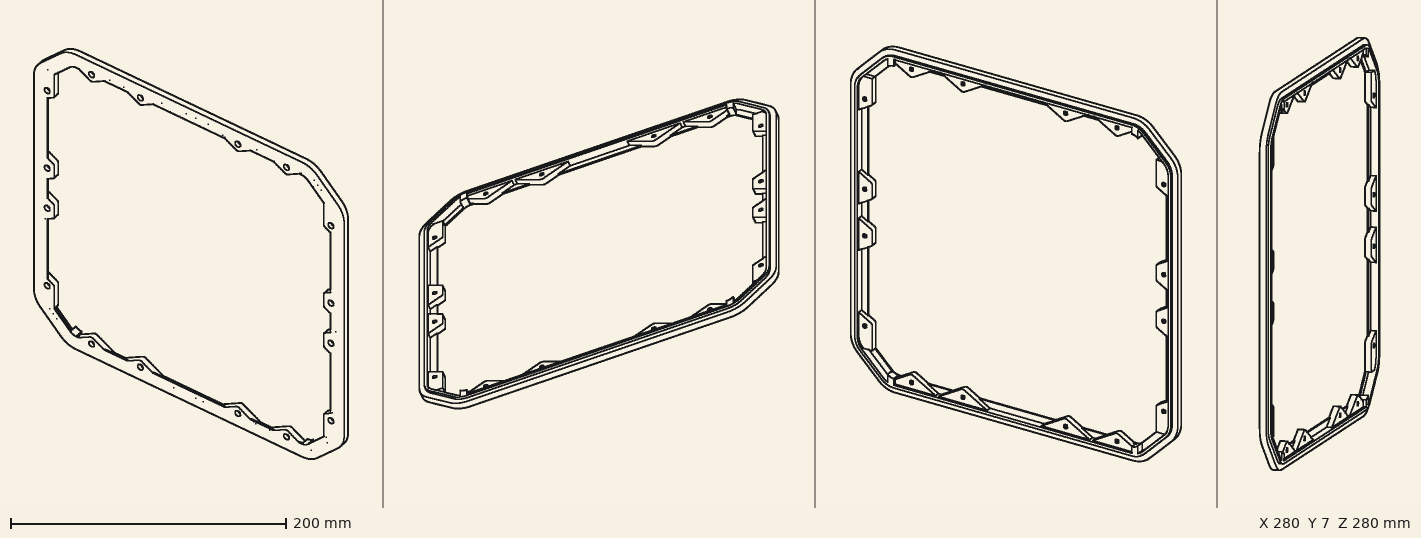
import cadquery as cq
import math

side = 280.0
half = side / 2
plate_depth = 5.0
total_depth = 7.0
flange_depth = 1.0

corner_leg = 30.0
corner_turn = math.radians(45)
corner_radius = 20.0

lip_inset = 4.8
wall_width = 7.0
flange_width = 12.3
boss_inset = 18.5
hole_inset = 12.0

hole_dia = 3.0
recess_dia = 4.8
recess_depth = 3.5
rail_holes = (44.0, 88.0)
mid_post_hole = 19.0
end_post_hole = 92.7

flank_angle = math.radians(30)
rail_tip_half = 0.8
mid_post_half = 6.5
end_post_reach = 3.5
boss_round = 2.0

leg_loss = 2 - math.sqrt(2)
rail_run = (boss_inset - wall_width) / math.tan(flank_angle)
post_run = (boss_inset - wall_width) * math.tan(flank_angle)


def plane_at(depth):
    """XZ workplane at Y = depth; extruding by depth runs back to the front face."""
    return cq.Workplane("XZ", origin=(0, depth, 0))


def octagon(inset, depth):
    """Rounded octagon, offset inward from the outer outline."""
    width = 2 * (half - inset)
    block = plane_at(depth).rect(width, width).extrude(depth)
    block = block.edges("|Y").chamfer(corner_leg - leg_loss * inset)
    return block.edges("|Y").fillet(corner_radius - inset)


def ring(outer_inset, inner_inset, depth):
    return octagon(outer_inset, depth).cut(octagon(inner_inset, depth))


def prism(points):
    return plane_at(plate_depth).polyline(points).close().extrude(plate_depth)


def all_quarters(shape):
    """Repeat a shape from the +X +Z quarter in all four quarters."""
    pair = shape.union(shape.mirror("YZ"))
    return pair.union(pair.mirror("XY"))


def rail_boss(x):
    root = half - wall_width
    tip = half - boss_inset
    boss = prism([
        (x - rail_tip_half - rail_run, root),
        (x - rail_tip_half, tip),
        (x + rail_tip_half, tip),
        (x + rail_tip_half + rail_run, root),
    ])
    return boss.edges("|Y and <Z").fillet(boss_round)


def post_boss(bottom, top, top_run):
    """Side boss with a sloped lower flank; top_run = 0 gives a square upper end."""
    root = half - wall_width
    face = half - boss_inset
    boss = prism([
        (root, bottom - post_run),
        (face, bottom),
        (face, top),
        (root, top + top_run),
    ])
    rounded = "|Y and <X" if top_run else "(|Y and <X) and (not >Z)"
    return boss.edges(rounded).fillet(boss_round)


def corner_pad():
    """Solid stretch along the rounding from corner cut to rail, as deep as the lip."""
    corner_x = half - (corner_leg - leg_loss * flange_width) - flange_width
    arc_tangent = (corner_radius - flange_width) * math.tan(corner_turn / 2)
    x_end = corner_x + arc_tangent * math.cos(corner_turn)
    x_start = corner_x - arc_tangent
    strip = plane_at(total_depth).center((x_start + x_end) / 2, half)
    strip = strip.rect(x_end - x_start, half).extrude(total_depth)
    solid_ring = ring(0, flange_width, plate_depth).union(ring(lip_inset, flange_width, total_depth))
    return strip.intersect(solid_ring)


end_post_top = side - corner_leg - math.sqrt(2) * flange_width - (half - boss_inset)

frame = ring(0, wall_width, plate_depth)
frame = frame.union(ring(0, flange_width, flange_depth))
frame = frame.union(ring(lip_inset, wall_width, total_depth))

bosses = post_boss(mid_post_hole - mid_post_half, mid_post_hole + mid_post_half, post_run)
bosses = bosses.union(post_boss(end_post_hole - end_post_reach, end_post_top, 0))
for hole_x in rail_holes:
    bosses = bosses.union(rail_boss(hole_x))
bosses = bosses.intersect(octagon(0, plate_depth)).union(corner_pad())
frame = frame.union(all_quarters(bosses))

hole_line = half - hole_inset
hole_centres = [(x, hole_line) for x in rail_holes]
hole_centres += [(hole_line, z) for z in (mid_post_hole, end_post_hole)]


def hole_cutters(diameter, depth):
    pins = plane_at(depth).pushPoints(hole_centres).circle(diameter / 2).extrude(depth)
    return all_quarters(pins)


frame = frame.cut(hole_cutters(hole_dia, plate_depth))
result = frame.cut(hole_cutters(recess_dia, recess_depth))